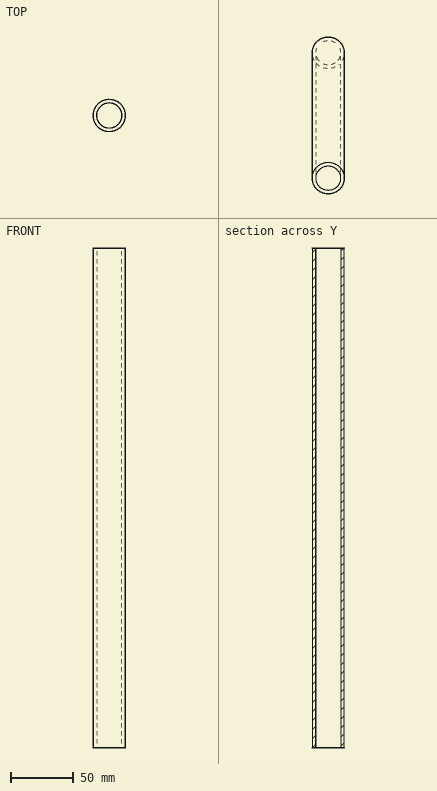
import cadquery as cq

outer_diameter = 26.0
wall_thickness = 3.0
length = 400.0

bore_diameter = outer_diameter - 2 * wall_thickness

result = (
    cq.Workplane("XY")
    .circle(outer_diameter / 2)
    .circle(bore_diameter / 2)
    .extrude(length)
)